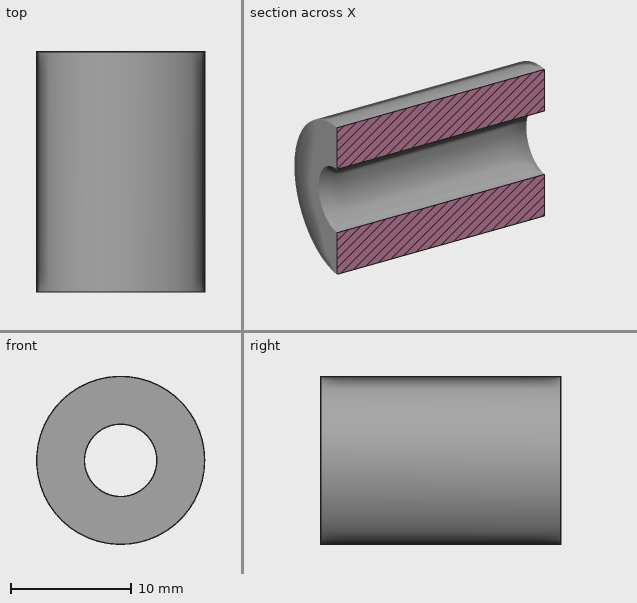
import cadquery as cq

outer_diameter = 14.0
bore_diameter = 6.0
length = 20.0


def make_spacer():
    """Round sleeve with a through bore, centred on the origin."""
    back_end = cq.Workplane("XZ", origin=(0, length / 2, 0))
    ring = back_end.circle(outer_diameter / 2).circle(bore_diameter / 2)
    return ring.extrude(length)


result = make_spacer()